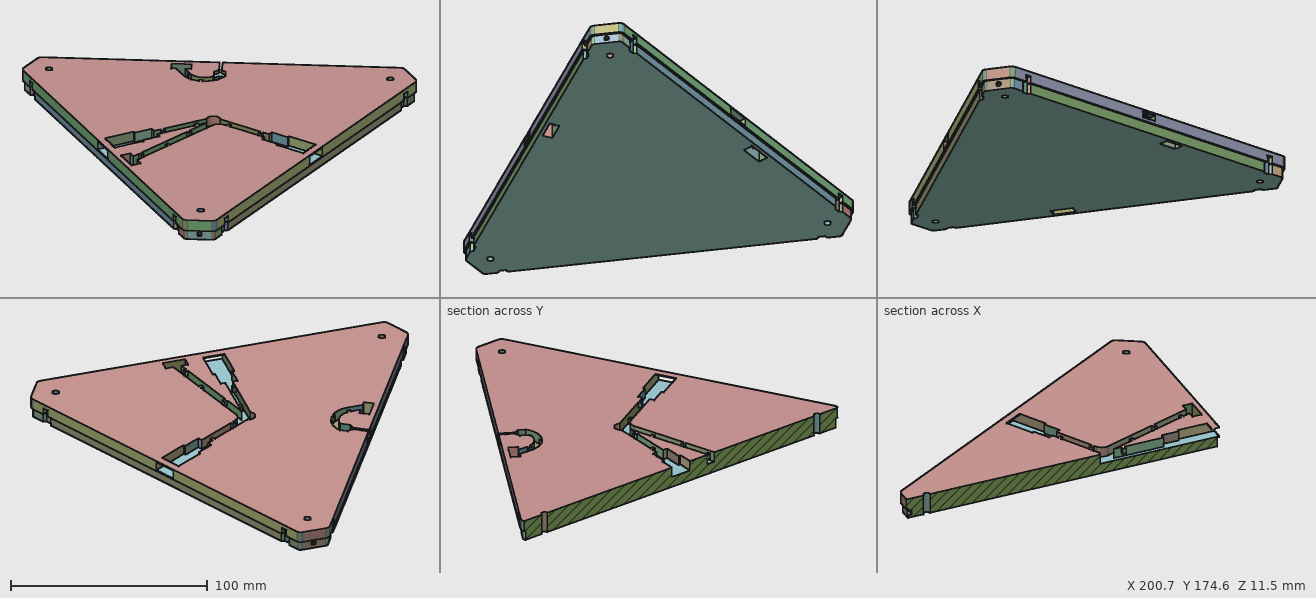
import cadquery as cq
import math


overall_width = 200.7
base_height = 5.5
cover_height = 6.0
total_height = base_height + cover_height
corner_cut = 16.0
corner_radius = 3.0
base_inset = 1.0
edge_angles = (0, 120, 240)
right_edge_angle = 120
left_edge_angle = -120

rounding_loss = corner_radius * (1 / math.cos(math.radians(30)) - 1)
side_length = overall_width + corner_cut + 2 * rounding_loss
edge_distance = side_length / (2 * math.sqrt(3))
corner_flat_distance = 2 * edge_distance - corner_cut * math.sqrt(3) / 2

screw_circle_radius = 100.3
screw_diameter = 3.5
corner_hole_diameter = 2.5
corner_hole_depth = 1.8
corner_hole_z = 3.0

notch_offset = 82.3
notch_width = 3.0
notch_depth = 2.5
notch_top = 9.0
notch_flare = 1.2

channel_floor = 6.0
channel_width = 4.0
tab_underside = 8.5
tab_length = 1.8
tab_reach = 1.8
tab_root = 0.5

pocket_wall = 4.2
window_top = 10.8
plug_width = 11.5
plug_length = 16.3
neck_width = 9.0
neck_length = 9.6
inner_tab_distance = 10.0
outer_tab_distance = 28.0
hub_diameter = 7.0

opening_setback = 3.0
opening_depth = 5.2
opening_start = 14.8
lower_opening_length = 12.0
left_opening_length = 10.2

slant_run = 1.0
slant_rise = 3.0
slant_end_x = 20.7
slant_length = 58.2
bend_radius = 4.8
slant_tabs = ((5.6, -1), (22.3, 1), (39.7, -1))

socket_width = 8.2
socket_depth = 4.0
socket_bottom = 7.2
socket_top = 10.2
throat_width = 6.0
throat_bottom = 7.8
throat_top = 9.6
slit_width = 1.5
slit_length = 8.5
slit_floor = 8.6
bay_start = 10.5

curve_center = (-50.5, 20.0)
curve_inner_radius = 8.2
curve_outer_radius = curve_inner_radius + channel_width
curve_end_angle = 34
curve_tail_length = 8.5
curve_inner_tab_x = 0.5
curve_outer_tab_angle = -36
curve_tab_reach = 1.5


def block(x_min, x_max, y_min, y_max, z_min, z_max):
    size = (x_max - x_min, y_max - y_min, z_max - z_min)
    return cq.Workplane("XY").box(*size, centered=False).translate((x_min, y_min, z_min))


def prism(points, z_min, z_max):
    return cq.Workplane("XY").workplane(offset=z_min).polyline(points).close().extrude(z_max - z_min)


def turned(body, angle):
    return body.rotate((0, 0, 0), (0, 0, 1), angle)


def tab(wall_x, side, y):
    """Wire tab on a channel wall; side is +1 for the +X wall and -1 for the -X wall."""
    ends = sorted((wall_x + side * tab_root, wall_x - side * tab_reach))
    return block(*ends, y - tab_length / 2, y + tab_length / 2, tab_underside, total_height)


def plate(inset, z_min, height):
    """Triangle with cut, rounded corners, moved inwards by the inset."""
    half_edge = side_length / 2 - corner_cut - inset * math.tan(math.radians(30))
    edge_y = inset - edge_distance
    points = []
    for angle in edge_angles:
        turn = math.radians(angle)
        for x in (-half_edge, half_edge):
            points.append((
                x * math.cos(turn) - edge_y * math.sin(turn),
                x * math.sin(turn) + edge_y * math.cos(turn),
            ))
    return prism(points, z_min, z_min + height).edges("|Z").fillet(corner_radius - inset)


def corner_holes():
    """Vertical screw hole and the blind hole in the base plate flat at the +Y corner."""
    screw = cq.Workplane("XY").center(0, screw_circle_radius).circle(screw_diameter / 2).extrude(total_height)
    flat = cq.Workplane("XZ", origin=(0, corner_flat_distance - base_inset, corner_hole_z))
    blind_hole = flat.circle(corner_hole_diameter / 2).extrude(corner_hole_depth)
    return screw.union(blind_hole)


def notch(x):
    """Upright notch in the lower edge, flared where it cuts the base plate."""
    half = notch_width / 2
    floor_y = notch_depth - edge_distance
    base_y = base_inset - edge_distance
    slot = block(x - half, x + half, -edge_distance, floor_y, 0, notch_top)
    flare = prism(
        [
            (x - half, floor_y),
            (x - half - notch_flare, base_y),
            (x + half + notch_flare, base_y),
            (x + half, floor_y),
        ],
        0,
        base_height,
    )
    return slot.union(flare)


def plug_arm():
    """Stepped plug pocket, its window through the lower edge, and its channel to the hub."""
    pocket_y = pocket_wall - edge_distance
    neck_y = pocket_y + plug_length
    channel_y = neck_y + neck_length
    wall = channel_width / 2
    window = block(-plug_width / 2, plug_width / 2, -edge_distance, pocket_y, channel_floor, window_top)
    plug = block(-plug_width / 2, plug_width / 2, pocket_y, neck_y, channel_floor, total_height)
    neck = block(-neck_width / 2, neck_width / 2, neck_y, channel_y, channel_floor, total_height)
    channel = block(-wall, wall, channel_y, 0, channel_floor, total_height)
    channel = channel.cut(tab(wall, 1, -inner_tab_distance)).cut(tab(-wall, -1, -outer_tab_distance))
    return window.union(plug).union(neck).union(channel)


def hub():
    """Round well at the centre where the three channels meet."""
    well = cq.Workplane("XY", origin=(0, 0, channel_floor))
    return well.circle(hub_diameter / 2).extrude(total_height - channel_floor)


def slanted_channel():
    """Channel from the lower opening up to the hub, with tabs on alternating walls."""
    wall = channel_width / 2
    end_y = opening_setback + opening_depth - edge_distance
    slant = math.degrees(math.atan2(slant_run, slant_rise))
    overlap = channel_width * slant_run / slant_rise
    channel = block(-wall, wall, -overlap, slant_length, channel_floor, total_height)
    for distance, side in slant_tabs:
        channel = channel.cut(tab(side * wall, side, distance))
    return turned(channel, slant).translate((slant_end_x, end_y, 0))


def bend():
    """Rounds the solid corner between the right arm and the slanted channel."""
    wall = channel_width / 2
    end_y = opening_setback + opening_depth - edge_distance
    arm = math.radians(30)
    slant = math.atan2(-slant_rise, slant_run)
    arm_point = (wall * math.sin(arm), -wall * math.cos(arm))
    slant_point = (slant_end_x - wall * math.sin(slant), end_y + wall * math.cos(slant))
    gap_x = slant_point[0] - arm_point[0]
    gap_y = slant_point[1] - arm_point[1]
    along = (gap_x * math.sin(slant) - gap_y * math.cos(slant)) / math.sin(slant - arm)
    corner = (arm_point[0] + along * math.cos(arm), arm_point[1] + along * math.sin(arm))

    half_angle = (arm - slant) / 2
    tangent = bend_radius / math.tan(half_angle)
    middle = (arm + slant) / 2
    to_arc = bend_radius / math.sin(half_angle) - bend_radius

    def from_corner(distance, direction):
        return (corner[0] + distance * math.cos(direction), corner[1] + distance * math.sin(direction))

    return (
        cq.Workplane("XY", origin=(0, 0, channel_floor))
        .moveTo(*corner)
        .lineTo(*from_corner(tangent, arm))
        .threePointArc(from_corner(to_arc, middle), from_corner(tangent, slant))
        .close()
        .extrude(total_height - channel_floor)
    )


def wire_opening(length):
    near_y = opening_setback - edge_distance
    return block(opening_start, opening_start + length, near_y, near_y + opening_depth, 0, total_height)


def edge_socket():
    """Stepped socket with the slit over it that leads to the bay."""
    def centered(width, depth, z_min, z_max):
        return block(-width / 2, width / 2, -edge_distance, depth - edge_distance, z_min, z_max)

    recess = centered(socket_width, socket_depth, socket_bottom, socket_top)
    throat = centered(throat_width, bay_start, throat_bottom, throat_top)
    slit = centered(slit_width, slit_length, slit_floor, total_height)
    return recess.union(throat).union(slit)


def curved_channel():
    """Bay behind the socket and the round channel from it to the left opening."""
    height = total_height - channel_floor
    level = cq.Workplane("XY", origin=(*curve_center, channel_floor))
    disc = level.circle(curve_outer_radius).extrude(height)

    slit_y = slit_length - edge_distance
    bay_y = bay_start - edge_distance
    inner_y = bay_y + curve_outer_radius
    bay = prism(
        [
            (-slit_width / 2, slit_y),
            (slit_width / 2, slit_y),
            (throat_width / 2, bay_y),
            (throat_width / 2, inner_y),
            (-throat_width / 2, inner_y),
            (-throat_width / 2, bay_y),
        ],
        channel_floor,
        total_height,
    )
    bay = turned(bay, left_edge_angle)

    def on_curve(radius, angle):
        turn = math.radians(angle)
        return (radius * math.cos(turn), radius * math.sin(turn))

    middle_angle = (curve_end_angle - 90) / 2
    ring = (
        level.moveTo(*on_curve(curve_inner_radius, -90))
        .threePointArc(
            on_curve(curve_inner_radius, middle_angle),
            on_curve(curve_inner_radius, curve_end_angle),
        )
        .lineTo(*on_curve(curve_outer_radius, curve_end_angle))
        .threePointArc(
            on_curve(curve_outer_radius, middle_angle),
            on_curve(curve_outer_radius, -90),
        )
        .lineTo(-curve_tail_length, -curve_outer_radius)
        .lineTo(-curve_tail_length, -curve_inner_radius)
        .close()
        .extrude(height)
    )
    tab_size = (tab_length, curve_tab_reach + tab_root)
    tab_height = total_height - tab_underside
    tab_level = cq.Workplane("XY", origin=(*curve_center, tab_underside))
    inner_tab_y = (tab_root - curve_tab_reach) / 2 - curve_inner_radius
    inner_tab = tab_level.center(curve_inner_tab_x, inner_tab_y).rect(*tab_size).extrude(tab_height)
    outer_tab_y = (curve_tab_reach - tab_root) / 2 - curve_outer_radius
    outer_tab = tab_level.center(0, outer_tab_y).rect(*tab_size).extrude(tab_height)
    outer_tab = outer_tab.rotate((*curve_center, 0), (*curve_center, 1), 90 + curve_outer_tab_angle)
    return ring.cut(inner_tab).cut(outer_tab).union(bay.intersect(disc))


cover = plate(0, base_height, cover_height)
base = plate(base_inset, 0, base_height)
result = cover.union(base)

for edge_angle in edge_angles:
    result = result.cut(turned(corner_holes(), edge_angle))
    for notch_x in (-notch_offset, notch_offset):
        result = result.cut(turned(notch(notch_x), edge_angle))

lower_arm = plug_arm()
right_arm = turned(lower_arm.mirror("YZ"), right_edge_angle)
for channel_part in (lower_arm, right_arm, hub(), slanted_channel(), bend(), curved_channel()):
    result = result.cut(channel_part)
result = result.cut(wire_opening(lower_opening_length))
result = result.cut(turned(wire_opening(left_opening_length), left_edge_angle))
result = result.cut(turned(edge_socket(), left_edge_angle))